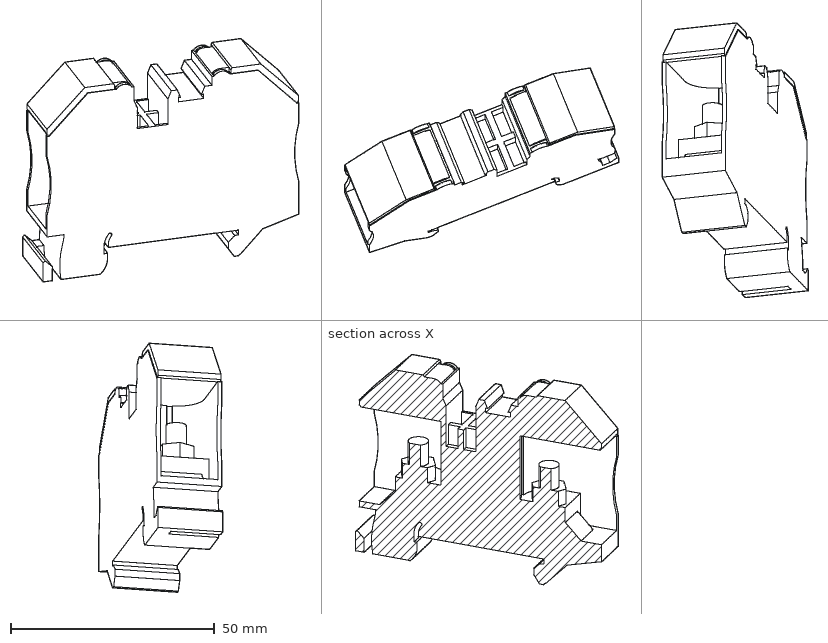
import cadquery as cq
import math

width = 16.3
half_length = 32.5
height = 50.8
foot_tip_y = half_length - 66.0

shoulder_z = 49.3
shoulder_y = 22.0
ledge_z = 39.0
ledge_y = 32.0

ear_y = 12.6
ear_half_chord = 2.05
ear_top_z = 50.35
ear_edge_y = 10.0

waist_top_z = 33.6
waist_bottom_z = 17.9
waist_depth = 1.05

cover_width = 15.9
cover_end_y = 15.0
cover_bevel_y = 15.3
cover_flat_y = 22.7
cover_corner_z = 40.9
cover_lip_z = 39.55

groove_outer_x = 7.1
groove_inner_x = 6.5

channel_back_y = -1.3
channel_front_y = -9.2
channel_floor_z = 37.95

seat_top_z = 46.9
seat_catch_z = 44.8
seat_floor_z = 43.7
seat_back_y = 7.9
post_catch_y = 1.45

pocket_length = 3.1
pocket_inner_x = 0.7
pocket_outer_x = 7.4
pocket_depth = 5.3

cavity_half_width = 7.1
cavity_floor_z = 13.7
cavity_top_z = ledge_z
bore_y = 17.5
slit_width = 1.45
slit_depth = 0.4
clamp_front_y = 22.8
clamp_top_z = 22.0
ramp_width = 10.55
ramp_size = 4.2
nut_across_flats = 7.9
nut_top_z = 26.0
stud_diameter = 5.0
stud_top_z = 31.75

rail_z = 6.9
rail_back_y = 16.9
rail_front_y = -16.7
shelf_z = 12.0

hook_tip_z = 5.6
hook_floor_z = 3.8
hook_root_y = -31.15
foot_wall_y = -29.25
hook_web_width = 3.75
hook_web_overlap = 0.65


def extrude_x(profile, thickness):
    """Extrude a closed (Y, Z) profile symmetrically about X = 0."""
    return profile.extrude(thickness / 2, both=True)


def box(x_range, y_range, z_range):
    """Axis-aligned box from its (low, high) limits."""
    lows, highs = zip(*(sorted(r) for r in (x_range, y_range, z_range)))
    sizes = [high - low for low, high in zip(lows, highs)]
    return cq.Workplane("XY").box(*sizes, centered=False).translate(lows)


def make_housing():
    """Full-width plate: rail feet below, domed ears and marker seats on top."""
    waist_mid_z = (waist_top_z + waist_bottom_z) / 2
    waist_y = half_length - waist_depth
    profile = (
        cq.Workplane("YZ")
        .moveTo(-half_length, ledge_z)
        .lineTo(-ledge_y, ledge_z)
        .lineTo(-shoulder_y, shoulder_z)
        .lineTo(-ear_y - ear_half_chord, shoulder_z)
        .threePointArc((-ear_y, ear_top_z), (-ear_y + ear_half_chord, shoulder_z))
        .lineTo(-ear_edge_y, shoulder_z)
        .lineTo(-ear_edge_y, 45.55)
        .lineTo(channel_front_y, 43.55)
        .lineTo(channel_front_y, channel_floor_z)
        .lineTo(channel_back_y, channel_floor_z)
        .lineTo(channel_back_y, seat_catch_z)
        .lineTo(-0.45, seat_top_z)
        .lineTo(1.1, seat_top_z)
        .lineTo(1.9, seat_catch_z)
        .lineTo(post_catch_y, seat_catch_z)
        .lineTo(post_catch_y, seat_floor_z)
        .lineTo(seat_back_y, seat_floor_z)
        .lineTo(seat_back_y, seat_catch_z)
        .lineTo(7.3, seat_catch_z)
        .lineTo(8.2, seat_top_z)
        .lineTo(ear_edge_y, seat_top_z)
        .lineTo(ear_edge_y, shoulder_z)
        .lineTo(ear_y - ear_half_chord, shoulder_z)
        .threePointArc((ear_y, ear_top_z), (ear_y + ear_half_chord, shoulder_z))
        .lineTo(shoulder_y, shoulder_z)
        .lineTo(ledge_y, ledge_z)
        .lineTo(half_length, ledge_z)
        .lineTo(half_length, waist_top_z)
        .threePointArc((waist_y, waist_mid_z), (half_length, waist_bottom_z))
        .lineTo(half_length, 9.05)
        .lineTo(23.15, 6.4)
        .lineTo(17.55, 0.5)
        .lineTo(16.8, 0.0)
        .lineTo(15.8, 0.0)
        .lineTo(14.25, 2.25)
        .lineTo(14.25, 4.0)
        .lineTo(15.9, 5.6)
        .lineTo(rail_back_y, 5.7)
        .lineTo(rail_back_y, rail_z)
        .lineTo(rail_front_y, rail_z)
        .lineTo(rail_front_y, 7.8)
        .threePointArc((-16.45, 9.05), (-15.8, 10.15))
        .threePointArc((-16.0, 10.7), (-16.6, 10.55))
        .threePointArc((-17.5, 9.05), (-17.75, 7.4))
        .lineTo(-17.75, 5.35)
        .lineTo(-16.9, 5.55)
        .lineTo(-16.9, 3.5)
        .threePointArc((-17.5, 1.6), (-18.8, 0.0))
        .lineTo(-28.9, 0.0)
        .threePointArc((foot_wall_y, hook_floor_z), (-28.5, 9.45))
        .threePointArc((-28.25, 10.7), (-28.1, shelf_z))
        .lineTo(-half_length, shelf_z)
        .lineTo(-half_length, waist_bottom_z)
        .threePointArc((-waist_y, waist_mid_z), (-half_length, waist_top_z))
        .close()
    )
    return extrude_x(profile, width)


def make_hook():
    """Release hook in front of the snap foot, joined to it by a web at the -X side only."""
    profile = (
        cq.Workplane("YZ")
        .moveTo(foot_tip_y, 0.0)
        .lineTo(foot_tip_y, hook_tip_z - 0.45)
        .lineTo(foot_tip_y + 0.5, hook_tip_z)
        .lineTo(hook_root_y, hook_floor_z)
        .lineTo(hook_root_y, 0.0)
        .close()
    )
    left_x = -width / 2
    web_end_y = foot_wall_y + hook_web_overlap
    web = box((left_x, left_x + hook_web_width), (hook_root_y, web_end_y), (0, hook_floor_z))
    return extrude_x(profile, width).union(web)


def make_cover():
    """Slightly narrower cover over the back shoulder."""
    profile = (
        cq.Workplane("YZ")
        .moveTo(ledge_y, ledge_z)
        .lineTo(half_length, cover_lip_z)
        .lineTo(half_length, cover_corner_z)
        .lineTo(cover_flat_y, height)
        .lineTo(cover_bevel_y, height)
        .lineTo(cover_end_y, ear_top_z)
        .lineTo(cover_end_y, shoulder_z)
        .lineTo(shoulder_y, shoulder_z)
        .close()
    )
    return extrude_x(profile, cover_width)


def make_ear_bridge():
    """Flat strip joining the crown of the back ear to its cover."""
    return box((-groove_inner_x, groove_inner_x), (ear_y, cover_end_y), (shoulder_z, ear_top_z))


def make_ear_groove():
    """Groove across the back ear, just inside the +X edge."""
    return box((groove_inner_x, groove_outer_x), (ear_edge_y, cover_end_y), (shoulder_z, height))


def make_cavity():
    """Wire entry at the back end: a straight opening in front of a round bore with a slit."""
    height_range = (cavity_floor_z, cavity_top_z)
    cavity_height = cavity_top_z - cavity_floor_z
    bore_end_y = bore_y - cavity_half_width
    opening = box((-cavity_half_width, cavity_half_width), (bore_y, half_length), height_range)
    bore = (
        cq.Workplane("XY", origin=(0, bore_y, cavity_floor_z))
        .circle(cavity_half_width)
        .extrude(cavity_height)
    )
    slit = box((-slit_width / 2, slit_width / 2), (bore_end_y - slit_depth, bore_y), height_range)
    return opening.union(bore).union(slit)


def make_clamp():
    """Clamp block with a 45 degree lead-in ramp, a hexagon nut and a stud on top."""
    bore_end_y = bore_y - cavity_half_width - slit_depth
    block = box(
        (-cavity_half_width, cavity_half_width),
        (bore_end_y, clamp_front_y),
        (cavity_floor_z, clamp_top_z),
    )
    ramp_profile = (
        cq.Workplane("YZ")
        .moveTo(clamp_front_y, cavity_floor_z)
        .lineTo(clamp_front_y + ramp_size, cavity_floor_z)
        .lineTo(clamp_front_y, cavity_floor_z + ramp_size)
        .close()
    )
    ramp = extrude_x(ramp_profile, ramp_width)
    nut_corner_diameter = nut_across_flats / math.cos(math.pi / 6)
    top = cq.Workplane("XY", origin=(0, bore_y, clamp_top_z))
    nut = (
        top.transformed(rotate=(0, 0, 90))
        .polygon(6, nut_corner_diameter)
        .extrude(nut_top_z - clamp_top_z)
    )
    stud = top.circle(stud_diameter / 2).extrude(stud_top_z - clamp_top_z)
    return block.union(ramp).union(nut).union(stud)


def make_pockets():
    """Two by two pockets sunk into the channel floor, against its front and back walls."""
    rows = (
        (channel_back_y - pocket_length, channel_back_y),
        (channel_front_y, channel_front_y + pocket_length),
    )
    columns = ((-pocket_outer_x, -pocket_inner_x), (pocket_inner_x, pocket_outer_x))
    pockets = cq.Workplane("XY")
    for row in rows:
        for column in columns:
            pockets = pockets.add(box(column, row, (channel_floor_z - pocket_depth, channel_floor_z)))
    return pockets.combine()


def on_both_ends(back_feature):
    """The feature of the back end together with its mirror image at the front end."""
    return back_feature.union(back_feature.mirror("XZ"))


def on_both_sides(right_feature):
    """The feature of the +X side together with its mirror image on the -X side."""
    return right_feature.union(right_feature.mirror("YZ"))


result = (
    make_housing()
    .union(make_hook())
    .union(on_both_ends(make_cover()))
    .union(on_both_ends(make_ear_bridge()))
    .cut(on_both_ends(on_both_sides(make_ear_groove())))
    .cut(on_both_ends(make_cavity()))
    .union(on_both_ends(make_clamp()))
    .cut(make_pockets())
)